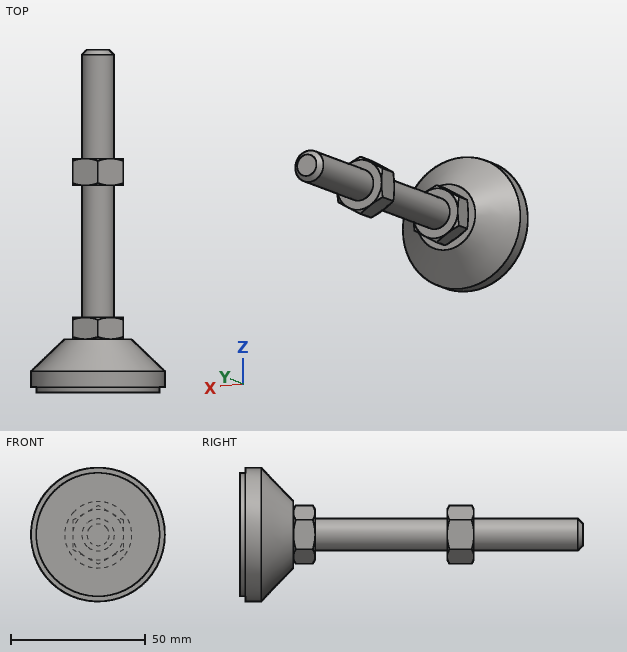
import cadquery as cq
import math

total_length = 128.0

pad_diameter = 46.1
pad_height = 2.0
foot_diameter = 50.0
rim_height = 5.9
cone_top_diameter = 25.0
cone_height = 12.0

hex_across_flats = 19.0
hex_corner_angle = 30.0
foot_hex_height = 8.0
lock_nut_height = 10.0
lock_nut_start = 77.3

rod_diameter = 12.0
rod_chamfer = 1.9

rim_start = pad_height
cone_start = rim_start + rim_height
foot_hex_start = cone_start + cone_height


def revolve_about_y(points):
    """Turn a closed (radius, Y) outline once around the Y axis."""
    return cq.Workplane("XY").polyline(points).close().revolve(360, (0, 0, 0), (0, 1, 0))


def hexagon(start, height):
    """Hexagon with flats facing +X and -X and corners chamfered at both ends."""
    corner_radius = hex_across_flats / math.sqrt(3)
    flat_radius = hex_across_flats / 2
    drop = (corner_radius - flat_radius) * math.tan(math.radians(hex_corner_angle))
    end = start + height
    prism = (
        cq.Workplane("XZ", origin=(0, start, 0))
        .transformed(rotate=(0, 0, 30))
        .polygon(6, 2 * corner_radius)
        .extrude(-height)
    )
    envelope = revolve_about_y([
        (0, start),
        (flat_radius, start),
        (corner_radius, start + drop),
        (corner_radius, end - drop),
        (flat_radius, end),
        (0, end),
    ])
    return prism.intersect(envelope)


foot = revolve_about_y([
    (0, 0),
    (pad_diameter / 2, 0),
    (pad_diameter / 2, rim_start),
    (foot_diameter / 2, rim_start),
    (foot_diameter / 2, cone_start),
    (cone_top_diameter / 2, foot_hex_start),
    (0, foot_hex_start),
])

rod = revolve_about_y([
    (0, foot_hex_start),
    (rod_diameter / 2, foot_hex_start),
    (rod_diameter / 2, total_length - rod_chamfer),
    (rod_diameter / 2 - rod_chamfer, total_length),
    (0, total_length),
])

foot_hex = hexagon(foot_hex_start, foot_hex_height)
lock_nut = hexagon(lock_nut_start, lock_nut_height)

result = foot.union(rod).union(foot_hex).union(lock_nut)